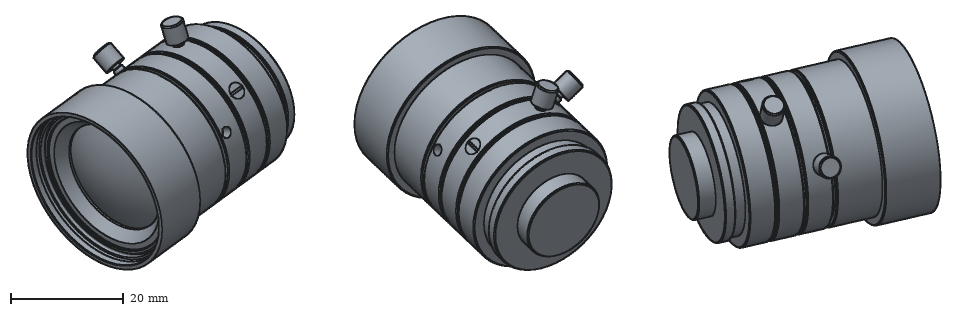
import cadquery as cq
import math


hood_radius = 16.0
hood_end = 10.47
body_radius = 14.45
body_end = 19.05
focus_ring_start = 19.65
focus_ring_end = 24.7
iris_ring_start = 25.15
iris_ring_end = 30.17
rear_ring_start = 30.6
rear_ring_end = 35.62
front_groove_radius = 13.48
ring_groove_radius = 13.78
shoulder_radius = 12.28
flange_radius = 12.7
flange_start = 37.55
flange_end = 39.6
mount_radius = 7.75
barrel_length = 42.9
edge_chamfer = 0.2

mouth_radius = 15.25
bore_radius = 15.1
mouth_chamfer = mouth_radius - bore_radius
bore_depth = 1.37
seat_radius = 15.05
seat_depth = 2.05
channel_radius = 14.65
channel_step_depth = 2.8
channel_floor_radius = 14.6
channel_depth = 3.1
lip_outer_radius = 14.2
lip_depth = 2.7
recess_front_radius = 13.75
recess_step_depth = 2.95
recess_rear_radius = 13.6
recess_depth = 3.18
cone_front_radius = 12.45
cone_depth = 5.25
lens_radius = 10.75
lens_edge_depth = 5.7
lens_bulge = 2.58

hole_spacing = 120
hole_radius = 1.05
hole_depth = 2.15
iris_hole_y = 28.2
iris_pin_angle = 110
iris_open_angle = iris_pin_angle + hole_spacing
iris_pin_tip = 19.23
focus_hole_y = 21.3
focus_pin_angle = 150
focus_open_angle = focus_pin_angle - hole_spacing
focus_pin_tip = 19.87
pin_head_radius = 2.05
pin_head_length = 3.8
pin_chamfer = 0.25
pin_neck_radius = 0.8
pin_neck_length = 0.6
stud_chamfer = 0.15
screw_y = 27.73
screw_angle = 50
screw_radius = 1.55
screw_slot_width = 0.45
screw_slot_depth = 0.45
screw_head_height = 0.85


def revolve_about_axis(profile):
    """Revolve a closed XY profile around the optical axis."""
    return profile.revolve(360, (0, 0, 0), (0, 1, 0))


def plain_section(radius, start, end):
    """Cylinder along the optical axis."""
    return revolve_about_axis(
        cq.Workplane("XY").moveTo(0, start).lineTo(radius, start).lineTo(radius, end).lineTo(0, end).close()
    )


def chamfered_section(radius, start, end):
    """Cylinder along the optical axis with both end edges chamfered."""
    return plain_section(radius, start, end).faces("<Y or >Y").edges().chamfer(edge_chamfer)


def rear_chamfered_section(radius, start, end):
    """Cylinder along the optical axis with only its rear edge chamfered."""
    return plain_section(radius, start, end).faces(">Y").edges().chamfer(edge_chamfer)


def radial_plane(angle, y, radius):
    """Plane facing outward at a distance from the axis, with its local x along +Y."""
    a = math.radians(angle)
    outward = (math.cos(a), 0, math.sin(a))
    return cq.Plane(origin=(radius * outward[0], y, radius * outward[2]), xDir=(0, 1, 0), normal=outward)


def radial_cylinder(angle, y, radius, inner_end, outer_end, outer_chamfer=0):
    """Cylinder between two distances from the axis, with an optional chamfer on its outer end."""
    cylinder = cq.Workplane("XY").circle(radius).extrude(outer_end - inner_end)
    if outer_chamfer:
        cylinder = cylinder.faces(">Z").edges().chamfer(outer_chamfer)
    return cq.Workplane(cylinder.val().moved(radial_plane(angle, y, inner_end).location))


def make_barrel():
    """Stack of hood, body, rings, flange and mount, joined by narrower grooves."""
    barrel = rear_chamfered_section(hood_radius, 0, hood_end)
    for radius, start, end in (
        (body_radius, hood_end, body_end),
        (mount_radius, flange_end, barrel_length),
    ):
        barrel = barrel.union(rear_chamfered_section(radius, start, end))
    for radius, start, end in (
        (body_radius, focus_ring_start, focus_ring_end),
        (body_radius, iris_ring_start, iris_ring_end),
        (body_radius, rear_ring_start, rear_ring_end),
        (flange_radius, flange_start, flange_end),
    ):
        barrel = barrel.union(chamfered_section(radius, start, end))
    for radius, start, end in (
        (front_groove_radius, body_end, focus_ring_start),
        (ring_groove_radius, focus_ring_end, iris_ring_start),
        (ring_groove_radius, iris_ring_end, rear_ring_start),
        (shoulder_radius, rear_ring_end, flange_start),
    ):
        barrel = barrel.union(plain_section(radius, start, end))
    return barrel


def make_hood_cavity():
    """Stepped and tapered recess that ends on the convex front lens."""
    lens_apex = lens_edge_depth - lens_bulge
    sphere_radius = (lens_radius**2 + lens_bulge**2) / (2 * lens_bulge)
    mid_radius = lens_radius / 2
    mid_depth = lens_apex + sphere_radius - math.sqrt(sphere_radius**2 - mid_radius**2)
    return revolve_about_axis(
        cq.Workplane("XY")
        .moveTo(0, 0)
        .lineTo(mouth_radius, 0)
        .lineTo(bore_radius, mouth_chamfer)
        .lineTo(bore_radius, bore_depth)
        .lineTo(seat_radius, bore_depth)
        .lineTo(seat_radius, seat_depth)
        .lineTo(channel_radius, seat_depth)
        .lineTo(channel_radius, channel_step_depth)
        .lineTo(channel_floor_radius, channel_depth)
        .lineTo(lip_outer_radius, lip_depth)
        .lineTo(recess_front_radius, lip_depth)
        .lineTo(recess_front_radius, recess_step_depth)
        .lineTo(recess_rear_radius, recess_depth)
        .lineTo(cone_front_radius, recess_depth)
        .lineTo(lens_radius, cone_depth)
        .lineTo(lens_radius, lens_edge_depth)
        .threePointArc((mid_radius, mid_depth), (0, lens_apex))
        .close()
    )


def make_hole(angle, y):
    """Blind radial hole in a ring."""
    return radial_cylinder(angle, y, hole_radius, body_radius - hole_depth, hood_radius)


def make_pin(angle, y, tip):
    """Locking pin: a head on a thin neck, over a stud that fills its hole."""
    head_base = tip - pin_head_length
    stud_end = head_base - pin_neck_length
    stud = radial_cylinder(angle, y, hole_radius, body_radius - hole_depth, stud_end, stud_chamfer)
    neck = radial_cylinder(angle, y, pin_neck_radius, stud_end, head_base)
    head = radial_cylinder(angle, y, pin_head_radius, head_base, tip, pin_chamfer)
    return stud.union(neck).union(head)


def make_screw_slot():
    """Slot across the screw head, running along the barrel."""
    return (
        cq.Workplane(radial_plane(screw_angle, screw_y, body_radius))
        .rect(2 * screw_radius, screw_slot_width)
        .extrude(-screw_slot_depth)
    )


result = make_barrel().cut(make_hood_cavity())
result = result.cut(make_hole(iris_open_angle, iris_hole_y))
result = result.cut(make_hole(focus_open_angle, focus_hole_y))
result = result.union(make_pin(iris_pin_angle, iris_hole_y, iris_pin_tip))
result = result.union(make_pin(focus_pin_angle, focus_hole_y, focus_pin_tip))
screw_base = body_radius - screw_head_height
result = result.union(radial_cylinder(screw_angle, screw_y, screw_radius, screw_base, body_radius))
result = result.cut(make_screw_slot())